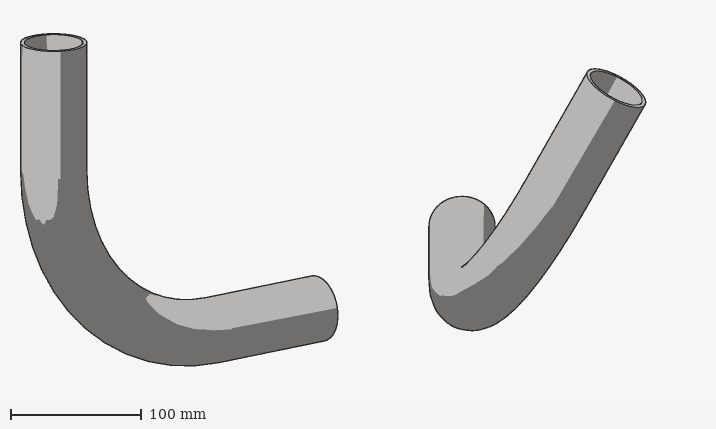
import cadquery as cq

overall_size = 279.5
outer_diameter = 50.9
bore_diameter = 44.7
bend_radius = 3 * outer_diameter
leg_length = overall_size - bend_radius - outer_diameter / 2


def tube_section(plane):
    """Ring-shaped tube cross-section centred on the plane's origin."""
    return cq.Workplane(plane).circle(outer_diameter / 2).circle(bore_diameter / 2)


upright_start = cq.Plane(origin=(0, 0, bend_radius), xDir=(1, 0, 0), normal=(0, 0, 1))
level_start = cq.Plane(origin=(0, bend_radius, 0), xDir=(1, 0, 0), normal=(0, 1, 0))

upright_leg = tube_section(upright_start).extrude(leg_length)
level_leg = tube_section(level_start).extrude(leg_length)

bend = tube_section(upright_start).revolve(90, (0, bend_radius, 0), (1, bend_radius, 0))

result = upright_leg.union(bend).union(level_leg)